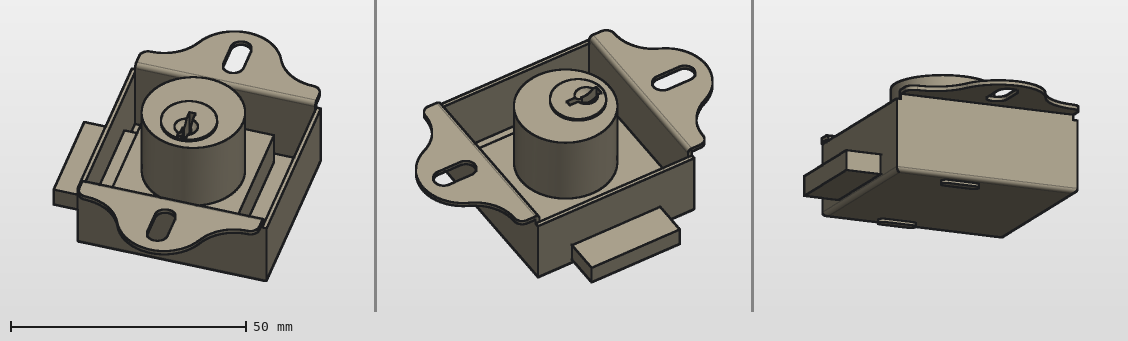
import cadquery as cq

SHEET = 1.0
CASE_X = 42.0
CASE_Y = 39.0
SIDE_WALL_TOP = 16.0
BEND_RADIUS = SHEET

LUG_TOP = 18.1
LUG_TIP_Y = 35.25
LUG_SHOULDER_Y = 23.55
LUG_TIP_RADIUS = 10.0
LUG_CORNER_RADIUS = 2.0
LUG_SLOT_LENGTH = 10.0
LUG_SLOT_WIDTH = 4.5
LUG_SLOT_Y = 27.3

FOOT_LENGTH = 8.7
FOOT_WIDTH = 2.25
FOOT_HEIGHT = 0.7
FOOT_X = -5.0
FOOT_Y = 16.5

BOLT_TIP_X = -29.0
BOLT_WIDTH = 22.0
BOLT_BOTTOM = 1.5
BOLT_HEIGHT = 4.4

BLOCK_X = 28.0
BLOCK_Y = 32.0
BLOCK_CENTER_X = -2.3
BLOCK_TOP = 8.75
CYLINDER_DIAMETER = 22.0
CYLINDER_TOP = 25.5
CYLINDER_X = -1.5
CYLINDER_Y = 0.55
PLUG_DIAMETER = 12.0
PLUG_TOP = 26.0
PLUG_Y = -2.55

DIMPLE_DIAMETER = 5.0
DIMPLE_DEPTH = 1.35
DIMPLE_Y = -4.6
KEYWAY_DEPTH = 6.0
KEYWAY_START_Y = -7.75
KEYWAY_STEP_Y = -3.95
KEYWAY_END_Y = -0.1
KEYWAY_WIDE = 2.05
KEYWAY_NARROW = 1.35

wall_x = CASE_X / 2
inner_x = wall_x - SHEET
wall_y = CASE_Y / 2
inner_y = wall_y - SHEET
block_left_x = BLOCK_CENTER_X - BLOCK_X / 2


def box(x_range, y_range, z_range):
    """Box between the given limits along each axis."""
    sizes = [end - start for start, end in (x_range, y_range, z_range)]
    corner = (x_range[0], y_range[0], z_range[0])
    return cq.Workplane("XY").box(*sizes, centered=False).translate(corner)


def lug():
    """Lug on the +Y side: a rounded tip that flows through hollow flanks into the shoulders."""
    flank_x = inner_x - LUG_CORNER_RADIUS
    tip_center_y = LUG_TIP_Y - LUG_TIP_RADIUS
    drop = LUG_SHOULDER_Y - tip_center_y
    flank_radius = (flank_x**2 + drop**2 - LUG_TIP_RADIUS**2) / (2 * (LUG_TIP_RADIUS - drop))
    flank_center_y = LUG_SHOULDER_Y + flank_radius
    share = LUG_TIP_RADIUS / (LUG_TIP_RADIUS + flank_radius)
    join_x = flank_x * share
    join_y = tip_center_y + (flank_center_y - tip_center_y) * share

    corner_y = LUG_SHOULDER_Y - LUG_CORNER_RADIUS
    plate = (
        cq.Workplane("XY", origin=(0, 0, LUG_TOP - SHEET))
        .moveTo(-inner_x, inner_y)
        .lineTo(-inner_x, corner_y)
        .tangentArcPoint((-flank_x, LUG_SHOULDER_Y), relative=False)
        .tangentArcPoint((-join_x, join_y), relative=False)
        .threePointArc((0, LUG_TIP_Y), (join_x, join_y))
        .tangentArcPoint((flank_x, LUG_SHOULDER_Y), relative=False)
        .tangentArcPoint((inner_x, corner_y), relative=False)
        .lineTo(inner_x, inner_y)
        .close()
        .extrude(SHEET)
    )
    slot = (
        cq.Workplane("XY", origin=(0, LUG_SLOT_Y, LUG_TOP - SHEET))
        .slot2D(LUG_SLOT_LENGTH, LUG_SLOT_WIDTH, 90)
        .extrude(SHEET)
    )
    return plate.cut(slot)


def lug_wall():
    """The +Y wall above the floor with its lug, rounded where the sheet bends outwards."""
    wall = box((-inner_x, inner_x), (inner_y, wall_y), (SHEET, LUG_TOP))
    return wall.union(lug()).edges("|X and >Z and <Y").fillet(BEND_RADIUS)


def foot(y):
    """Round-ended foot under the floor."""
    return (
        cq.Workplane("XY", origin=(FOOT_X, y, -FOOT_HEIGHT))
        .slot2D(FOOT_LENGTH, FOOT_WIDTH)
        .extrude(FOOT_HEIGHT)
    )


def make_case(bolt):
    """Open tray with two lugs, two feet and a hole in the -X wall that fits the bolt."""
    case = box((-wall_x, wall_x), (-wall_y, wall_y), (0, SIDE_WALL_TOP))
    case = case.cut(box((-inner_x, inner_x), (-inner_y, inner_y), (SHEET, SIDE_WALL_TOP)))
    case = case.faces("<Z").edges().fillet(BEND_RADIUS)
    wall = lug_wall()
    case = case.union(wall).union(wall.mirror("XZ"))
    for y in (-FOOT_Y, FOOT_Y):
        case = case.union(foot(y))
    return case.cut(bolt)


def make_bolt():
    """Rectangular bar that ends against the lock block."""
    half_width = BOLT_WIDTH / 2
    bolt_top = BOLT_BOTTOM + BOLT_HEIGHT
    return box((BOLT_TIP_X, block_left_x), (-half_width, half_width), (BOLT_BOTTOM, bolt_top))


def disc(diameter, y, bottom, top):
    """Upright cylinder on the X position shared by the round lock features."""
    return cq.Workplane("XY", origin=(CYLINDER_X, y, bottom)).circle(diameter / 2).extrude(top - bottom)


def dimple():
    """Ball whose lowest part sinks into the plug by the dimple depth."""
    rim_radius = DIMPLE_DIAMETER / 2
    ball_radius = (rim_radius**2 + DIMPLE_DEPTH**2) / (2 * DIMPLE_DEPTH)
    center_z = PLUG_TOP - DIMPLE_DEPTH + ball_radius
    return cq.Workplane("XY", origin=(CYLINDER_X, DIMPLE_Y, center_z)).sphere(ball_radius)


def keyway_slot(width, start_y, end_y):
    """One straight length of the key slot, cut down from the plug face."""
    x_range = (CYLINDER_X - width / 2, CYLINDER_X + width / 2)
    return box(x_range, (start_y, end_y), (PLUG_TOP - KEYWAY_DEPTH, PLUG_TOP))


def make_lock():
    """Block, cylinder and plug in one piece, with the keyway cut into the plug."""
    block_right_x = block_left_x + BLOCK_X
    lock = box((block_left_x, block_right_x), (-BLOCK_Y / 2, BLOCK_Y / 2), (SHEET, BLOCK_TOP))
    lock = lock.union(disc(CYLINDER_DIAMETER, CYLINDER_Y, BLOCK_TOP, CYLINDER_TOP))
    lock = lock.union(disc(PLUG_DIAMETER, PLUG_Y, CYLINDER_TOP, PLUG_TOP))
    lock = lock.cut(dimple())
    lock = lock.cut(keyway_slot(KEYWAY_WIDE, KEYWAY_START_Y, KEYWAY_STEP_Y))
    return lock.cut(keyway_slot(KEYWAY_NARROW, KEYWAY_STEP_Y, KEYWAY_END_Y))


bolt = make_bolt()
case = make_case(bolt)
lock = make_lock()

result = cq.Compound.makeCompound([case.solids().val(), lock.solids().val(), bolt.val()])